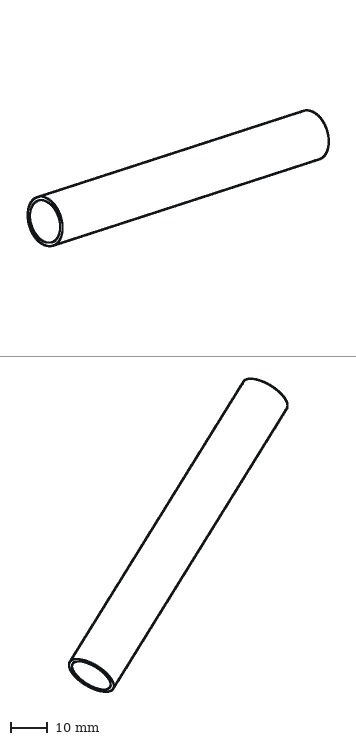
import cadquery as cq

length = 100.0
outer_diameter = 14.0
wall_thickness = 1.0
inner_diameter = outer_diameter - 2 * wall_thickness

result = (
    cq.Workplane("XZ", origin=(0, length / 2, 0))
    .circle(outer_diameter / 2)
    .circle(inner_diameter / 2)
    .extrude(length)
)